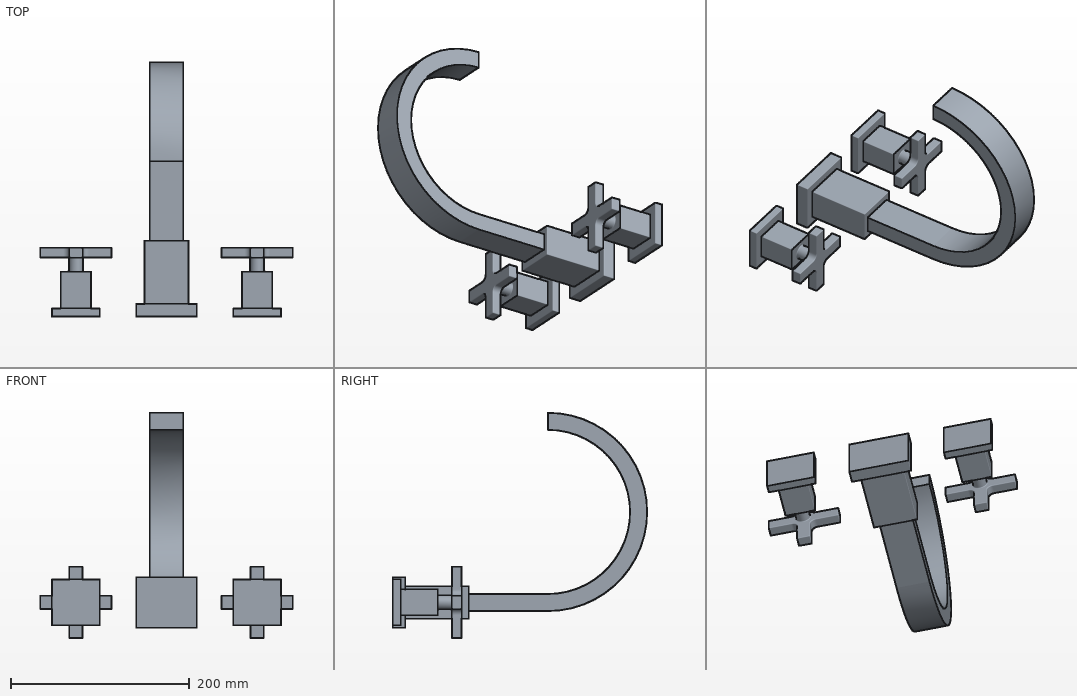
import cadquery as cq

edge_round = 0.7
grip_edge_round = 1.0
stem_blend = 0.9

spout_plate_width = 68.0
spout_plate_height = 56.7
spout_plate_depth = 14.3
spout_block_width = 49.5
spout_block_height = 36.5
spout_block_end = 85.2
spout_drop = 0.23
tube_width = 38.0
tube_thickness = 19.5
arc_outer_radius = 111.2
spout_reach = 285.0

handle_offset = 101.5
handle_plate_width = 54.0
handle_plate_height = 51.5
handle_plate_depth = 9.0
handle_block_width = 34.2
handle_block_height = 29.0
handle_block_end = 50.5
stem_diameter = 16.0
cross_span = 80.0
cross_arm_width = 15.0
cross_depth = 11.0
cross_end = 77.3
cross_corner_radius = 6.5


def block(width, height, y_start, y_end):
    """Rectangular block between two depths, centred on x = 0 and z = 0."""
    depth = y_end - y_start
    return cq.Workplane("XY").box(width, depth, height).translate((0, y_start + depth / 2, 0))


def rounded_block(width, height, y_start, y_end):
    """Block with every edge rounded except those of its face nearest the wall."""
    return block(width, height, y_start, y_end).edges("not <Y").fillet(edge_round)


def make_tube():
    """Straight flat tube that turns up through a half circle and ends pointing back to the wall."""
    bottom = -tube_thickness / 2
    top = tube_thickness / 2
    arc_inner_radius = arc_outer_radius - tube_thickness
    arc_y = spout_reach - arc_outer_radius
    arc_z = bottom + arc_outer_radius
    profile = (
        cq.Workplane("YZ")
        .moveTo(spout_block_end, bottom)
        .lineTo(arc_y, bottom)
        .threePointArc((spout_reach, arc_z), (arc_y, arc_z + arc_outer_radius))
        .lineTo(arc_y, arc_z + arc_inner_radius)
        .threePointArc((arc_y + arc_inner_radius, arc_z), (arc_y, top))
        .lineTo(spout_block_end, top)
        .close()
    )
    return profile.extrude(tube_width / 2, both=True)


def make_spout():
    """Wall plate, block and curved tube as one solid."""
    plate = rounded_block(spout_plate_width, spout_plate_height, 0, spout_plate_depth)
    body = rounded_block(spout_block_width, spout_block_height, spout_plate_depth, spout_block_end)
    return plate.union(body).union(make_tube()).translate((0, 0, -spout_drop))


def make_cross():
    """Four-armed grip with rounded inner corners and softened outer edges."""
    cross_start = cross_end - cross_depth
    bar = block(cross_span, cross_arm_width, cross_start, cross_end)
    post = block(cross_arm_width, cross_span, cross_start, cross_end)
    inner_zone = cq.selectors.BoxSelector(
        (-cross_arm_width, cross_start, -cross_arm_width), (cross_arm_width, cross_end, cross_arm_width)
    )
    cross = bar.union(post).edges("|Y").edges(inner_zone).fillet(cross_corner_radius)
    return cross.faces("<X or >X or <Y or >Y or <Z or >Z").edges().fillet(grip_edge_round)


def make_handle(x_centre):
    """Wall plate, square block with rounded long edges, round stem and cross grip as one solid."""
    plate = rounded_block(handle_plate_width, handle_plate_height, 0, handle_plate_depth)
    body = block(handle_block_width, handle_block_height, handle_plate_depth, handle_block_end)
    body = body.edges("|Y").fillet(edge_round)
    cross_start = cross_end - cross_depth
    stem = (
        cq.Workplane("XZ", origin=(0, handle_block_end, 0))
        .circle(stem_diameter / 2)
        .extrude(handle_block_end - cross_start)
    )
    handle = plate.union(body).union(stem).union(make_cross())
    stem_ends = cq.selectors.BoxSelector(
        (-stem_diameter, handle_block_end - stem_blend, -stem_diameter),
        (stem_diameter, cross_start + stem_blend, stem_diameter),
    )
    handle = handle.edges("%CIRCLE").edges(stem_ends).fillet(stem_blend)
    return handle.translate((x_centre, 0, 0))


spout = make_spout()
handles = [make_handle(side * handle_offset) for side in (-1, 1)]

result = cq.Compound.makeCompound([spout.val(), *[handle.val() for handle in handles]])